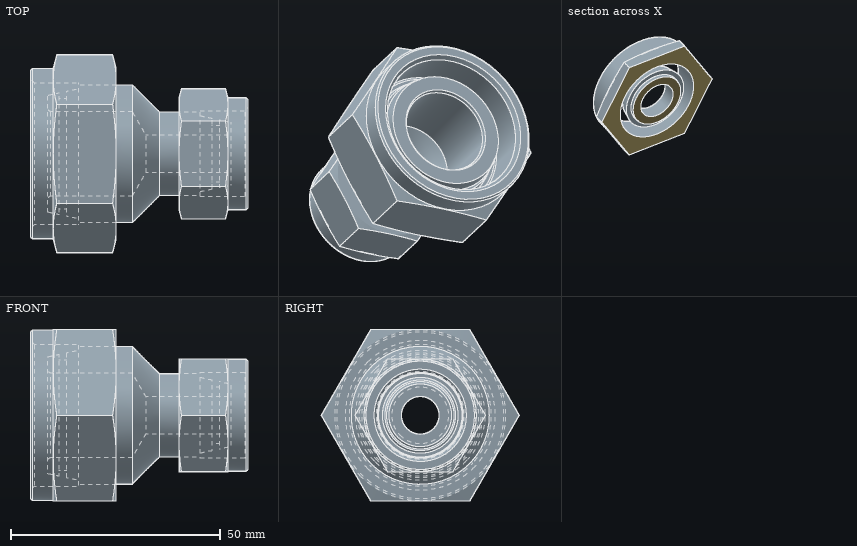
import cadquery as cq
import math

TOTAL_LENGTH = 52.0
CONE_ANGLE = math.radians(12)
HEX_CHAMFER_ANGLE = math.radians(15)
BORE_TAPER_ANGLE = math.radians(60)
RIM_CHAMFER = 0.45

LARGE_FLATS = 41.0
LARGE_COLLAR_RADIUS = 20.4
LARGE_COLLAR_LENGTH = 5.45
LARGE_NUT_LENGTH = 20.5
LARGE_MOUTH_RADIUS = 17.9
LARGE_THREAD_RADIUS = 16.95

SMALL_FLATS = 27.0
SMALL_COLLAR_RADIUS = 13.4
SMALL_COLLAR_LENGTH = 4.85
SMALL_NUT_LENGTH = 16.5
SMALL_MOUTH_RADIUS = 11.0
SMALL_THREAD_RADIUS = 10.25

LARGE_SHANK_RADIUS = 16.5
SMALL_SHANK_RADIUS = 10.0
TAPER_START = 24.35
TAPER_END = TAPER_START + LARGE_SHANK_RADIUS - SMALL_SHANK_RADIUS
TIP_DEPTH = 4.1
CONE_RISE = 1.55
LARGE_TIP_RADIUS = 13.95
SMALL_TIP_RADIUS = 7.5
LARGE_BORE_RADIUS = 10.1
SMALL_BORE_RADIUS = 4.45
BORE_CHAMFER = 0.4
BORE_CHAMFER_LENGTH = 0.75
GROOVE_OFFSET = 2.7
GROOVE_WIDTH = 1.75
GROOVE_DEPTH = 1.3

CONE_LENGTH = CONE_RISE / math.tan(CONE_ANGLE)
SHOULDER_DEPTH = TIP_DEPTH + CONE_LENGTH


def revolve_about_x(points):
    """Revolve a closed (x, radius) outline about the X axis."""
    return cq.Workplane("XY").polyline(points).close().revolve(360, (0, 0, 0), (1, 0, 0))


def make_nut(flats, collar_radius, collar_length, length, mouth_radius, thread_radius, shank_radius):
    """Union nut with its mouth at X = 0 and two hexagon flats facing up and down."""
    corner_radius = flats / 2 / math.cos(math.pi / 6)
    chamfer_length = (corner_radius - flats / 2) * math.tan(HEX_CHAMFER_ANGLE)

    hexagon = (
        cq.Workplane("YZ", origin=(collar_length, 0, 0))
        .polygon(6, 2 * corner_radius)
        .extrude(length - collar_length)
    )
    corner_envelope = revolve_about_x([
        (collar_length, 0),
        (collar_length, flats / 2),
        (collar_length + chamfer_length, corner_radius),
        (length - chamfer_length, corner_radius),
        (length, flats / 2),
        (length, 0),
    ])
    collar = (
        cq.Workplane("YZ")
        .circle(collar_radius)
        .extrude(collar_length)
        .faces("<X")
        .chamfer(RIM_CHAMFER)
    )
    opening = revolve_about_x([
        (0, 0),
        (0, mouth_radius),
        (mouth_radius - thread_radius, thread_radius),
        (SHOULDER_DEPTH, thread_radius),
        (SHOULDER_DEPTH, shank_radius),
        (length, shank_radius),
        (length, 0),
    ])
    return hexagon.intersect(corner_envelope).union(collar).cut(opening)


def face_other_way(shape):
    """Turn a shape end for end, so that its X = 0 face lies at the far end."""
    return shape.mirror("YZ").translate((TOTAL_LENGTH, 0, 0))


def make_groove(tip_radius):
    """Seal groove around a sealing cone whose nut mouth is at X = 0."""
    start = TIP_DEPTH + GROOVE_OFFSET
    floor_radius = tip_radius + GROOVE_OFFSET * math.tan(CONE_ANGLE) - GROOVE_DEPTH
    outside_radius = tip_radius + CONE_RISE
    return (
        cq.Workplane("YZ", origin=(start, 0, 0))
        .circle(outside_radius)
        .circle(floor_radius)
        .extrude(GROOVE_WIDTH)
    )


def make_body():
    """Tapered body with a sealing cone and groove at each end and a stepped bore."""
    small_tip = TOTAL_LENGTH - TIP_DEPTH
    small_shoulder = TOTAL_LENGTH - SHOULDER_DEPTH
    outside = revolve_about_x([
        (TIP_DEPTH, 0),
        (TIP_DEPTH, LARGE_TIP_RADIUS),
        (SHOULDER_DEPTH, LARGE_TIP_RADIUS + CONE_RISE),
        (SHOULDER_DEPTH, LARGE_SHANK_RADIUS),
        (TAPER_START, LARGE_SHANK_RADIUS),
        (TAPER_END, SMALL_SHANK_RADIUS),
        (small_shoulder, SMALL_SHANK_RADIUS),
        (small_shoulder, SMALL_TIP_RADIUS + CONE_RISE),
        (small_tip, SMALL_TIP_RADIUS),
        (small_tip, 0),
    ])
    bore_taper_length = (LARGE_BORE_RADIUS - SMALL_BORE_RADIUS) / math.tan(BORE_TAPER_ANGLE)
    bore = revolve_about_x([
        (TIP_DEPTH, 0),
        (TIP_DEPTH, LARGE_BORE_RADIUS + BORE_CHAMFER),
        (TIP_DEPTH + BORE_CHAMFER_LENGTH, LARGE_BORE_RADIUS),
        (TAPER_START, LARGE_BORE_RADIUS),
        (TAPER_START + bore_taper_length, SMALL_BORE_RADIUS),
        (small_tip, SMALL_BORE_RADIUS),
        (small_tip, 0),
    ])
    large_groove = make_groove(LARGE_TIP_RADIUS)
    small_groove = face_other_way(make_groove(SMALL_TIP_RADIUS))
    return outside.cut(bore).cut(large_groove).cut(small_groove)


large_nut = make_nut(
    LARGE_FLATS, LARGE_COLLAR_RADIUS, LARGE_COLLAR_LENGTH, LARGE_NUT_LENGTH,
    LARGE_MOUTH_RADIUS, LARGE_THREAD_RADIUS, LARGE_SHANK_RADIUS,
)
small_nut = face_other_way(make_nut(
    SMALL_FLATS, SMALL_COLLAR_RADIUS, SMALL_COLLAR_LENGTH, SMALL_NUT_LENGTH,
    SMALL_MOUTH_RADIUS, SMALL_THREAD_RADIUS, SMALL_SHANK_RADIUS,
))
body = make_body()

result = cq.Compound.makeCompound([large_nut.val(), small_nut.val(), body.val()])